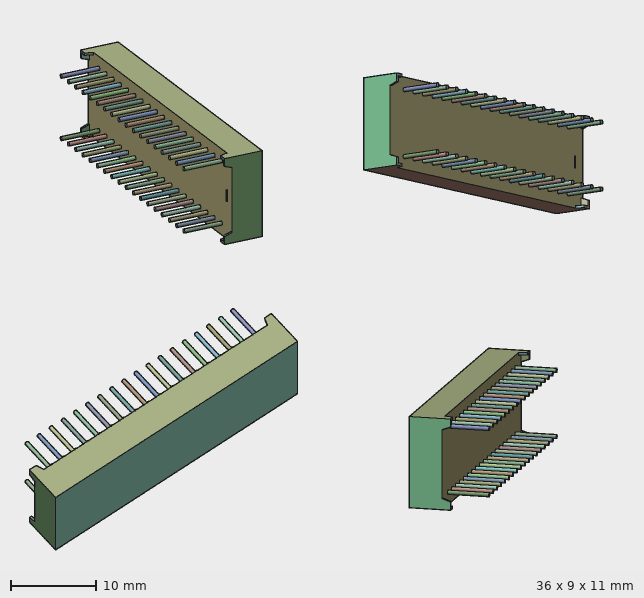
import cadquery as cq

length = 36.0
height = 11.0
housing_depth = 4.0
total_depth = 9.0

pins_per_row = 18
pin_pitch = 1.8
row_spacing = 8.0
pin_diameter = 0.5
pin_length = total_depth - housing_depth

foot_height = 1.0
foot_wall = 0.305
foot_base = 1.35
foot_tip = 1.0

marker_x = 16.55
marker_width = 0.125
marker_height = 1.45
marker_depth = 0.07


def make_housing():
    """Block with its front face on the plane Y = 0 and its body towards +Y."""
    return cq.Workplane("XY").box(length, housing_depth, height, centered=(True, False, True))


def foot_side(plane):
    """One wall of a foot, from the local origin along the plane's first axis."""
    profile = [(0, 0), (foot_base, 0), (foot_tip, foot_height), (0, foot_height)]
    return cq.Workplane(plane).polyline(profile).close().extrude(foot_wall)


def make_foot():
    """L-shaped foot for the lower -X corner."""
    corner = (-length / 2, 0, -height / 2)
    along_x = foot_side(cq.Plane(origin=corner, xDir=(1, 0, 0), normal=(0, 0, -1)))
    along_x = along_x.translate((0, 0, foot_wall))
    along_z = foot_side(cq.Plane(origin=corner, xDir=(0, 0, 1), normal=(1, 0, 0)))
    return along_x.union(along_z)


def make_feet():
    """The same foot mirrored into all four corners."""
    lower_left = make_foot()
    lower = lower_left.union(lower_left.mirror("YZ"))
    return lower.union(lower.mirror("XY"))


def make_pins():
    """Two rows of round pins pointing towards -Y."""
    return (
        cq.Workplane("XZ")
        .rarray(pin_pitch, row_spacing, pins_per_row, 2)
        .circle(pin_diameter / 2)
        .extrude(pin_length)
    )


def make_marker():
    """Cutter for the groove, sunk into the front face."""
    groove = cq.Workplane("XY").box(marker_width, marker_depth, marker_height, centered=(True, False, True))
    return groove.translate((marker_x, 0, 0))


result = make_housing().union(make_feet()).union(make_pins()).cut(make_marker())